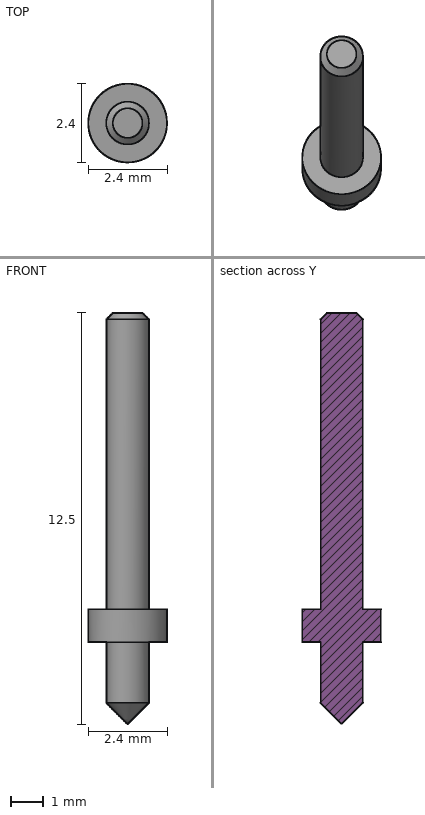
import cadquery as cq

total_length = 12.5
pin_radius = 1.3 / 2
top_chamfer = 0.2

tip_height = pin_radius

collar_radius = 2.4 / 2
collar_bottom = 2.5
collar_thickness = 1.0
collar_top = collar_bottom + collar_thickness

half_profile = (
    cq.Workplane("XZ")
    .moveTo(0, 0)
    .lineTo(pin_radius, tip_height)
    .lineTo(pin_radius, collar_bottom)
    .lineTo(collar_radius, collar_bottom)
    .lineTo(collar_radius, collar_top)
    .lineTo(pin_radius, collar_top)
    .lineTo(pin_radius, total_length)
    .lineTo(0, total_length)
    .close()
)

pin = half_profile.revolve(360, (0, 0, 0), (0, 1, 0))
result = pin.faces(">Z").edges().chamfer(top_chamfer)